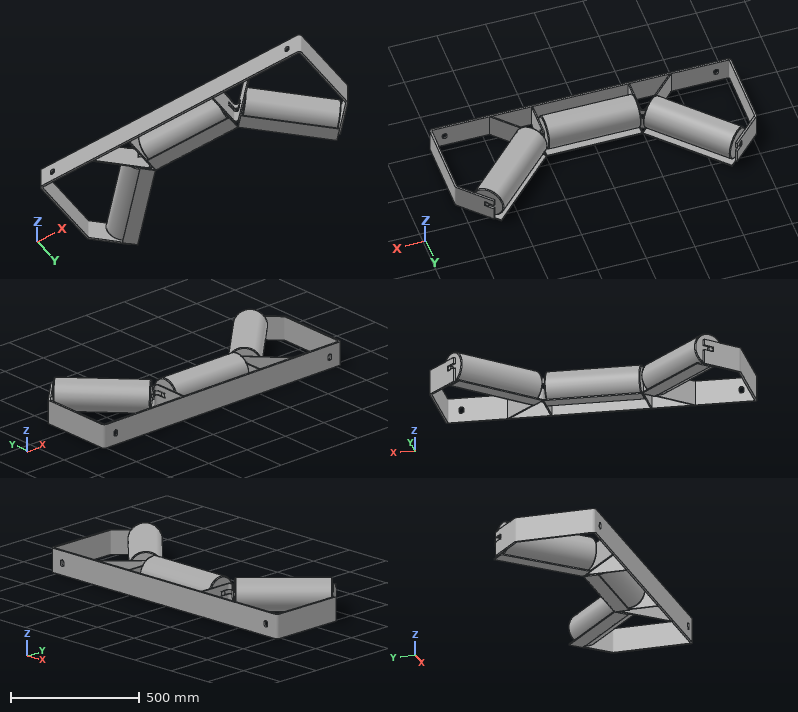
import cadquery as cq
import math

roller_diameter = 134.0
roller_length = 381.0
roller_chamfer = 4.0
end_gap = 5.6
support_span = roller_length + 2 * end_gap
tilt = 45
axis_height = roller_diameter / 2
middle_roller_y = 125.0
side_roller_x = 378.0
side_roller_y = 281.0

shaft_diameter = 19.0

strip_width = 61.0
strip_thickness = 5.0

frame_length = 1240.0
frame_height = 100.0
frame_thickness = 9.0
frame_bend_radius = 14.0
flange_past_axis = 32.0
bolt_slot_x = 558.0
bolt_slot_width = 19.0
bolt_slot_height = 26.0

bracket_thickness = 5.6
bracket_bend_radius = 15.0

shaft_length = support_span + 2 * bracket_thickness

left_place = (-side_roller_x, side_roller_y, -tilt)
middle_place = (0, middle_roller_y, 0)
right_place = (side_roller_x, side_roller_y, tilt)
roller_places = [left_place, middle_place, right_place]


def put(shape, place):
    """Move a shape from a roller's local axes to its place."""
    x, y, angle = place
    return shape.rotate((0, 0, 0), (0, 0, 1), angle).translate((x, y, 0))


def point_at(place, along, across):
    """Plan position of a point given in a roller's local axes."""
    x, y, angle = place
    turn = math.radians(angle)
    return (
        x + along * math.cos(turn) - across * math.sin(turn),
        y + along * math.sin(turn) + across * math.cos(turn),
    )


def offset_path(points, distance):
    """Shift an open path to its left, keeping mitred corners."""
    headings = [math.atan2(b[1] - a[1], b[0] - a[0]) for a, b in zip(points, points[1:])]
    before = headings[:1] + headings
    after = headings + headings[-1:]
    shifted = []
    for (x, y), first, second in zip(points, before, after):
        half_turn = math.remainder(second - first, 2 * math.pi) / 2
        mitre = distance / math.cos(half_turn)
        heading = first + half_turn
        shifted.append((x - mitre * math.sin(heading), y + mitre * math.cos(heading)))
    return shifted


def bent_bar(outer_path, thickness, outer_radius):
    """Bar standing on edge whose convex face follows a path that turns left."""
    inner_path = offset_path(outer_path, thickness)
    bar = cq.Workplane("XY").polyline(outer_path + inner_path[::-1]).close().extrude(frame_height)
    for path, radius in ((outer_path, outer_radius), (inner_path, outer_radius - thickness)):
        for x, y in path[1:-1]:
            corner = cq.selectors.NearestToPointSelector((x, y, frame_height / 2))
            bar = bar.edges(corner).fillet(radius)
    return bar


def shaft_slot(place, side):
    """Cutter for a shaft slot in the support at one end of a roller, open towards local +Y."""
    slot_length = 99.0
    slot_depth = 30.0
    cutter = cq.Workplane("XY").box(slot_depth, slot_length, shaft_diameter).translate(
        (side * support_span / 2, slot_length / 2 - shaft_diameter / 2, axis_height)
    )
    return put(cutter, place)


def make_frame():
    half_length = frame_length / 2
    outer_face = support_span / 2 + frame_thickness
    flange_end = point_at(right_place, outer_face, flange_past_axis)
    bend_y = flange_end[1] - (half_length - flange_end[0]) / math.tan(math.radians(tilt))
    right_half = [(half_length, 0), (half_length, bend_y), flange_end]
    left_half = [(-x, y) for x, y in reversed(right_half)]
    bar = bent_bar(left_half + right_half, frame_thickness, frame_bend_radius)
    bolt_slots = (
        cq.Workplane("XZ", origin=(0, frame_thickness, frame_height / 2))
        .pushPoints([(-bolt_slot_x, 0), (bolt_slot_x, 0)])
        .slot2D(bolt_slot_height, bolt_slot_width, 90)
        .extrude(frame_thickness)
    )
    return bar.cut(bolt_slots).cut(shaft_slot(left_place, -1)).cut(shaft_slot(right_place, 1))


def make_bracket():
    """Right-hand bracket: an upright leg for the middle roller and a sloping leg for the side one."""
    upright_x = support_span / 2
    slope_x, slope_y = point_at(right_place, -support_span / 2, 0)
    fold_y = slope_y + (slope_x - upright_x) / math.tan(math.radians(tilt))
    foot_x = upright_x + fold_y * math.tan(math.radians(tilt))
    path = [(foot_x, 0), (upright_x, fold_y), (upright_x, 0)]
    plate = bent_bar(path, bracket_thickness, bracket_bend_radius)
    frame_zone = cq.Workplane("XY").box(frame_length, 2 * frame_thickness, 2 * frame_height)
    return plate.cut(frame_zone).cut(shaft_slot(middle_place, 1)).cut(shaft_slot(right_place, -1))


def cylinder_along_x(diameter, length):
    """Cylinder on a roller's axis, centred on its middle."""
    start = cq.Workplane("YZ", origin=(-length / 2, 0, axis_height))
    return start.circle(diameter / 2).extrude(length)


def make_roller():
    shell = cylinder_along_x(roller_diameter, roller_length)
    shell = shell.faces("<X or >X").chamfer(roller_chamfer)
    return shell.union(cylinder_along_x(shaft_diameter, shaft_length))


def make_strip():
    """Flat strip touching the underside of a roller, from below its axis towards local +Y."""
    return cq.Workplane("XY").box(support_span, strip_width, strip_thickness).translate(
        (0, strip_width / 2, -strip_thickness / 2)
    )


frame = make_frame()
right_bracket = make_bracket()
left_bracket = right_bracket.mirror("YZ")
rollers = [put(make_roller(), place) for place in roller_places]
strips = [put(make_strip(), place) for place in roller_places]

bodies = [frame, left_bracket, right_bracket, *rollers, *strips]
result = cq.Compound.makeCompound([body.solids().val() for body in bodies])